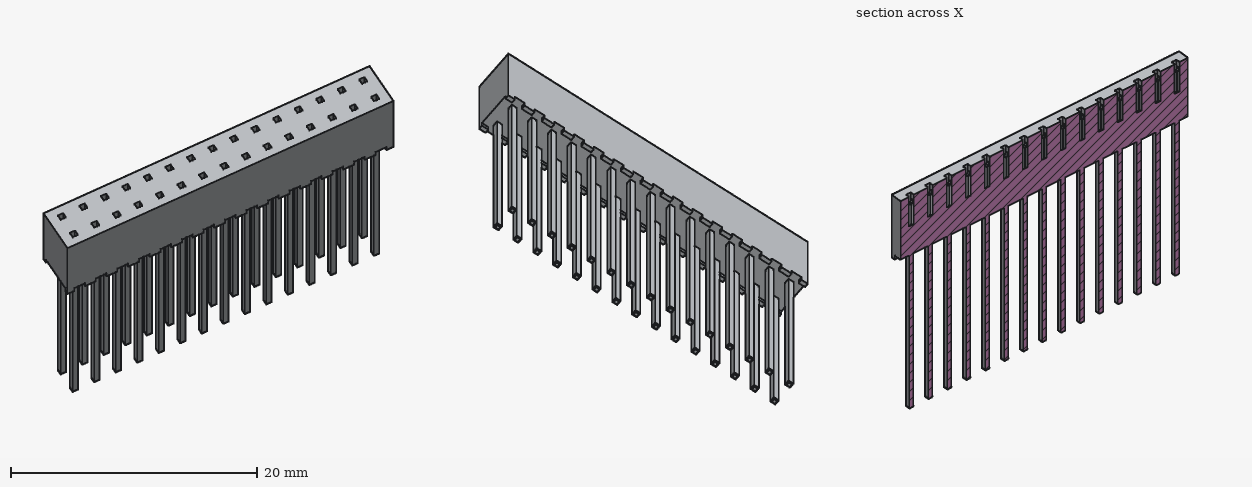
import cadquery as cq

length = 30.3
width = 4.0
height = 21.6

pins_per_column = 15
pitch = 2.0

block_height = 6.0
wall_drop = 0.4
wall_thickness = 0.4
notch_width = pitch / 2
underside_z = height - block_height
wall_bottom_z = underside_z - wall_drop

pin_side = pitch / 4
tip_chamfer = 0.1

socket_side = 0.48
socket_depth = block_height / 2
leaf_width = 0.25
leaf_gap = 0.03
leaf_recess = 0.6
bevel_height = 0.35

column_xs = [-pitch / 2, pitch / 2]
row_ys = [(row - (pins_per_column - 1) / 2) * pitch for row in range(pins_per_column)]
pin_points = [(x, y) for x in column_xs for y in row_ys]


def prisms(points, size_x, size_y, bottom_z, top_z):
    """Upright rectangular prisms centred on the given points."""
    base = cq.Workplane("XY", origin=(0, 0, bottom_z)).pushPoints(points)
    return base.rect(size_x, size_y).extrude(top_z - bottom_z)


def make_housing():
    block = prisms([(0, 0)], width, length, wall_bottom_z, height)
    channel = prisms([(0, 0)], width - 2 * wall_thickness, length, wall_bottom_z, underside_z)
    notches = prisms([(0, y) for y in row_ys], width, notch_width, wall_bottom_z, underside_z)
    return block.cut(channel).cut(notches)


def make_pins():
    return prisms(pin_points, pin_side, pin_side, 0, underside_z).faces("<Z").chamfer(tip_chamfer)


def make_leaves():
    """Pairs of leaves that fill each socket along Y, split by a gap that widens to a V at the top."""
    floor_z = height - socket_depth
    tip_z = height - leaf_recess
    bevel_z = tip_z - bevel_height
    outer = socket_side / 2
    inner = leaf_gap / 2
    profile = [(outer, floor_z), (outer, tip_z), (inner, bevel_z), (inner, floor_z)]
    leaf = cq.Workplane("YZ").polyline(profile).close().extrude(leaf_width / 2, both=True)
    pair = leaf.union(leaf.mirror("XZ")).val()
    return cq.Workplane("XY").pushPoints(pin_points).eachpoint(lambda place: pair.moved(place), combine=False)


sockets = prisms(pin_points, socket_side, socket_side, height - socket_depth, height)
result = make_housing().union(make_pins()).cut(sockets).union(make_leaves())